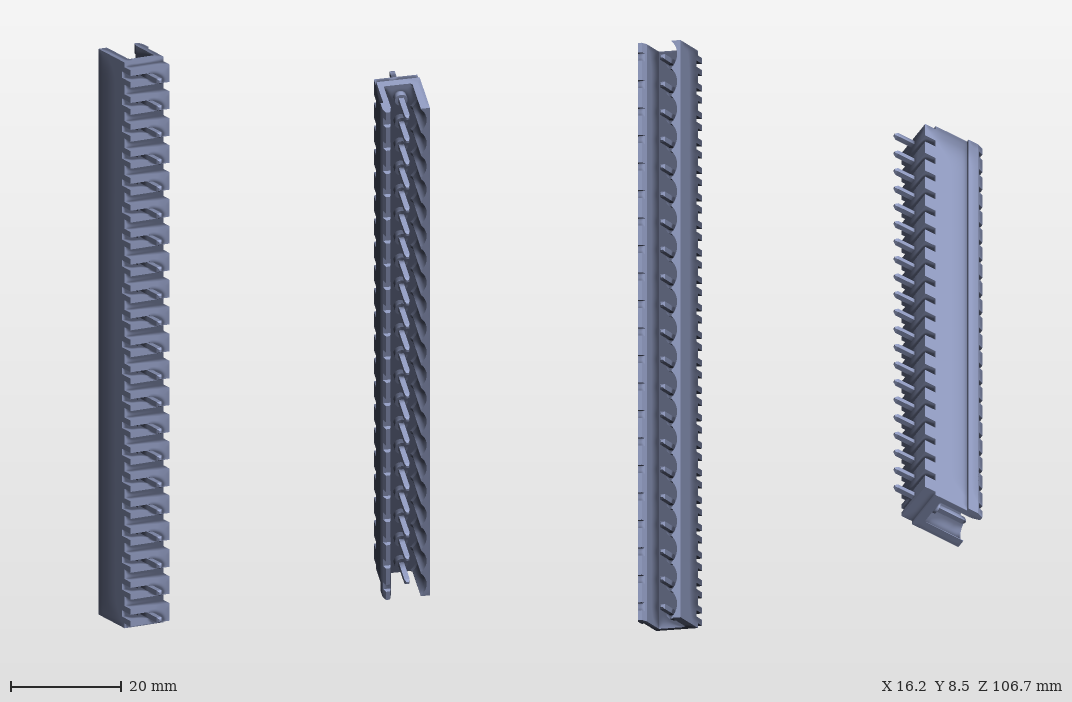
import cadquery as cq

length = 106.7
pin_count = 21
pitch = length / pin_count
back_x = 9.9
front_wall_top = 1.7
rear_wall_inner = 6.9
rear_wall_outer = 8.0
web_x = 8.3
corner_bevel = 0.3

latch_peak_y = 8.5
latch_ramp = 1.2
latch_ramp_rise = 0.4
latch_end_x = 3.2
lead_in_length = 1.5
lead_in_height = 0.4
latch_gap = 1.5
latch_gap_depth = 1.0

pin_y = 4.0
pin_size = 1.0
pin_tip_size = 0.4
pin_tip_length = 0.5
pin_start_x = 1.0
pin_end_x = 16.2
collar_radius = 1.2
collar_x = 7.0

scallop_radius = 3.3

foot_end_x = 12.2
foot_height = 3.3
slot_start_x = 9.0
slot_height = 1.2
slot_depth = 2.9
slot_step_x = 9.6

pin_heights = [(i + 0.5) * pitch for i in range(pin_count)]


def box(x_range, y_range, z_range):
    """Axis-aligned block between the given limits."""
    size = [high - low for low, high in (x_range, y_range, z_range)]
    corner = (x_range[0], y_range[0], z_range[0])
    return cq.Workplane("XY").box(*size, centered=False).translate(corner)


def around(centre, size):
    """Limits of a stretch of the given size about its centre."""
    return centre - size / 2, centre + size / 2


def make_channel():
    """U-shaped channel with the latch profile on the +Y wall."""
    return (
        cq.Workplane("XY")
        .polyline([
            (0, 0),
            (back_x, 0),
            (back_x, rear_wall_outer),
            (latch_end_x, rear_wall_outer),
            (latch_end_x, latch_peak_y),
            (latch_ramp, latch_peak_y),
            (0, latch_peak_y - latch_ramp_rise),
            (0, rear_wall_inner + lead_in_height),
            (lead_in_length, rear_wall_inner),
            (web_x, rear_wall_inner),
            (web_x, front_wall_top + corner_bevel),
            (web_x - corner_bevel, front_wall_top),
            (0, front_wall_top),
        ])
        .close()
        .extrude(length)
    )


def make_latch_gap(z):
    """Notch in the free edge of the +Y wall that separates two latch teeth."""
    return box((0, latch_gap_depth), (rear_wall_inner, latch_peak_y), around(z, latch_gap))


def make_scallop(z):
    """Round cutter about the pin, bevelled at the floor and limited to the -Y side of the pin."""
    cutter = (
        cq.Workplane("YZ")
        .center(pin_y, z)
        .circle(scallop_radius)
        .extrude(web_x)
        .faces(">X")
        .chamfer(corner_bevel)
    )
    return cutter.intersect(box((0, web_x), (0, pin_y), around(z, 2 * scallop_radius)))


def make_foot(z):
    return box((back_x, foot_end_x), (0, rear_wall_outer), around(z, foot_height))


def make_slot(z):
    """Slot from the -Y face to the pin, deeper behind the step so that it reaches the pin."""
    z_range = around(z, slot_height)
    shallow = box((slot_start_x, foot_end_x), (0, slot_depth), z_range)
    deep = box((slot_step_x, foot_end_x), (0, pin_y), z_range)
    return shallow.union(deep)


def make_pin(z):
    """Square pin with a tapered tip at each end and a round collar against the channel floor."""
    shank_start = pin_start_x + pin_tip_length
    shank_end = pin_end_x - pin_tip_length
    shank = box((shank_start, shank_end), around(pin_y, pin_size), around(z, pin_size))
    collar_base = cq.Workplane("YZ", origin=(collar_x, pin_y, z))
    collar = collar_base.circle(collar_radius).extrude(web_x - collar_x)
    pin = shank.union(collar)
    for base_x, direction in ((shank_start, -1), (shank_end, 1)):
        tip = (
            cq.Workplane("YZ", origin=(base_x, pin_y, z))
            .rect(pin_size, pin_size)
            .workplane(offset=direction * pin_tip_length)
            .rect(pin_tip_size, pin_tip_size)
            .loft()
        )
        pin = pin.union(tip)
    return pin


def at_every_pin(make_feature):
    """One copy of a feature per pin, gathered so that they are joined or cut in one step."""
    copies = [make_feature(z).val() for z in pin_heights]
    return cq.Workplane(cq.Compound.makeCompound(copies))


result = (
    make_channel()
    .cut(at_every_pin(make_latch_gap))
    .cut(at_every_pin(make_scallop))
    .union(at_every_pin(make_foot))
    .cut(at_every_pin(make_slot))
    .union(at_every_pin(make_pin))
)